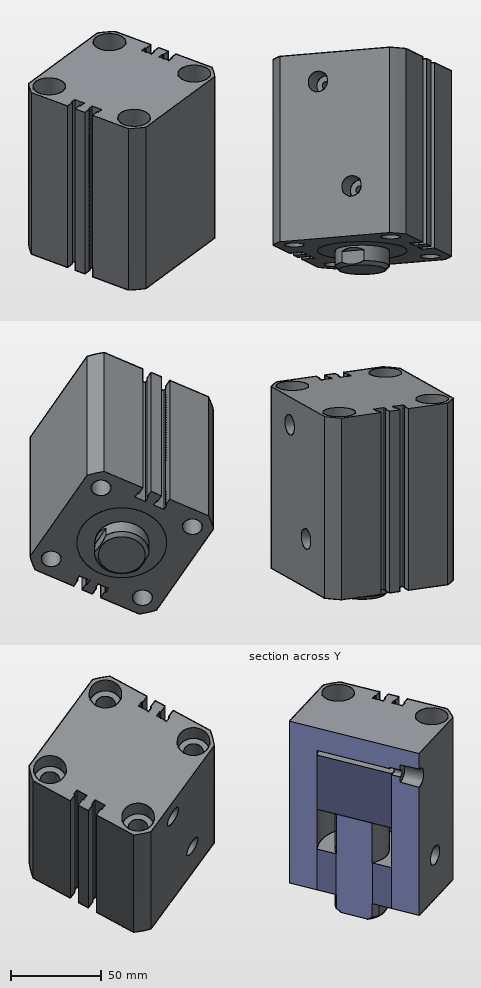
import cadquery as cq
import math

OVERALL_LENGTH = 116.0

HOUSING_WIDTH = 80.0
HOUSING_HEIGHT = 105.2
CORNER_RADIUS = 51.9

MOUNT_SPACING = 57.8
MOUNT_DIAMETER = 11.0
COUNTERBORE_DIAMETER = 18.1
COUNTERBORE_DEPTH = 11.6

SLOT_OFFSET = 5.9
SLOT_NECK_WIDTH = 5.2
SLOT_NECK_DEPTH = 4.8
SLOT_HEAD_WIDTH = 6.5
SLOT_DEPTH = 7.9

BORE_DIAMETER = 49.9
BORE_TOP = 90.4

PORT_MOUTH_DIAMETER = 11.6
PORT_TAPER = 1 / 16
PORT_DEPTH = 11.6
PORT_OFFSET = 10.1
PORT_PILOT_DIAMETER = 4.2
UPPER_PORT_HEIGHT = 89.1
LOWER_PORT_HEIGHT = 28.3

COVER_HEIGHT = 26.8
PISTON_BOTTOM = 52.2
PISTON_TOP = 87.7
ROD_DIAMETER = 30.2
ROD_PROJECTION = OVERALL_LENGTH - HOUSING_HEIGHT
ROD_CHAMFER = 2.1
ROD_FLAT_WIDTH = 27.1
ROD_FLAT_TOP = -2.5


def upright_cylinder(diameter, bottom, top):
    return cq.Workplane("XY").workplane(offset=bottom).circle(diameter / 2).extrude(top - bottom)


def housing_block():
    block = cq.Workplane("XY").rect(HOUSING_WIDTH, HOUSING_WIDTH).extrude(HOUSING_HEIGHT)
    return block.intersect(upright_cylinder(2 * CORNER_RADIUS, 0, HOUSING_HEIGHT))


def add_mounting_holes(block):
    return (
        block.faces(">Z")
        .workplane(origin=(0, 0, HOUSING_HEIGHT))
        .rect(MOUNT_SPACING, MOUNT_SPACING, forConstruction=True)
        .vertices()
        .cboreHole(MOUNT_DIAMETER, COUNTERBORE_DIAMETER, COUNTERBORE_DEPTH)
    )


def sensor_slot(x, side):
    """T-shaped slot along Z, open to the Y face on the given side (-1 or 1)."""
    face = HOUSING_WIDTH / 2
    neck = (
        cq.Workplane("XY").center(x, side * (face - SLOT_DEPTH / 2))
        .rect(SLOT_NECK_WIDTH, SLOT_DEPTH).extrude(HOUSING_HEIGHT)
    )
    head = (
        cq.Workplane("XY").center(x, side * (face - (SLOT_NECK_DEPTH + SLOT_DEPTH) / 2))
        .rect(SLOT_HEAD_WIDTH, SLOT_DEPTH - SLOT_NECK_DEPTH).extrude(HOUSING_HEIGHT)
    )
    return neck.union(head)


def port(y, z):
    """Tapered port and its pilot hole, drilled inward from the -X face to the bore."""
    mouth_radius = PORT_MOUTH_DIAMETER / 2
    end_radius = mouth_radius - PORT_TAPER * PORT_DEPTH / 2
    pilot_radius = PORT_PILOT_DIAMETER / 2
    bore_radius = BORE_DIAMETER / 2
    pilot_length = HOUSING_WIDTH / 2 - math.sqrt(bore_radius ** 2 - (PORT_OFFSET + pilot_radius) ** 2)
    profile = (
        cq.Workplane("XZ")
        .polyline([
            (0, 0),
            (0, -mouth_radius),
            (PORT_DEPTH, -end_radius),
            (PORT_DEPTH, -pilot_radius),
            (pilot_length, -pilot_radius),
            (pilot_length, 0),
        ])
        .close()
    )
    return profile.revolve(360, (0, 0, 0), (1, 0, 0)).translate((-HOUSING_WIDTH / 2, y, z))


def make_housing():
    housing = add_mounting_holes(housing_block())
    for side in (-1, 1):
        for x in (-SLOT_OFFSET, SLOT_OFFSET):
            housing = housing.cut(sensor_slot(x, side))
    housing = housing.cut(upright_cylinder(BORE_DIAMETER, 0, BORE_TOP))
    housing = housing.cut(port(PORT_OFFSET, UPPER_PORT_HEIGHT))
    return housing.cut(port(-PORT_OFFSET, LOWER_PORT_HEIGHT))


def make_rod_cover():
    """Ring that closes the lower end of the bore and guides the rod."""
    cover = upright_cylinder(BORE_DIAMETER, 0, COVER_HEIGHT)
    return cover.cut(upright_cylinder(ROD_DIAMETER, 0, COVER_HEIGHT))


def make_piston():
    return upright_cylinder(BORE_DIAMETER, PISTON_BOTTOM, PISTON_TOP)


def make_rod():
    """Rod with a chamfered end and two wrench flats, each with a 45 degree shoulder."""
    radius = ROD_DIAMETER / 2
    profile = (
        cq.Workplane("YZ")
        .polyline([
            (0, PISTON_BOTTOM),
            (-radius, PISTON_BOTTOM),
            (-radius, ROD_CHAMFER - ROD_PROJECTION),
            (ROD_CHAMFER - radius, -ROD_PROJECTION),
            (0, -ROD_PROJECTION),
        ])
        .close()
    )
    rod = profile.revolve(360, (0, 0, 0), (0, 1, 0))
    shoulder = radius - ROD_FLAT_WIDTH / 2
    flat_cut = (
        cq.Workplane("XZ")
        .polyline([
            (ROD_FLAT_WIDTH / 2, -ROD_PROJECTION),
            (ROD_FLAT_WIDTH / 2, ROD_FLAT_TOP),
            (radius, ROD_FLAT_TOP + shoulder),
            (radius, -ROD_PROJECTION),
        ])
        .close()
        .extrude(radius, both=True)
    )
    return rod.cut(flat_cut).cut(flat_cut.mirror("YZ"))


housing = make_housing()
rod_cover = make_rod_cover()
piston = make_piston()
rod = make_rod()

result = cq.Compound.makeCompound([housing.val(), rod_cover.val(), piston.val(), rod.val()])